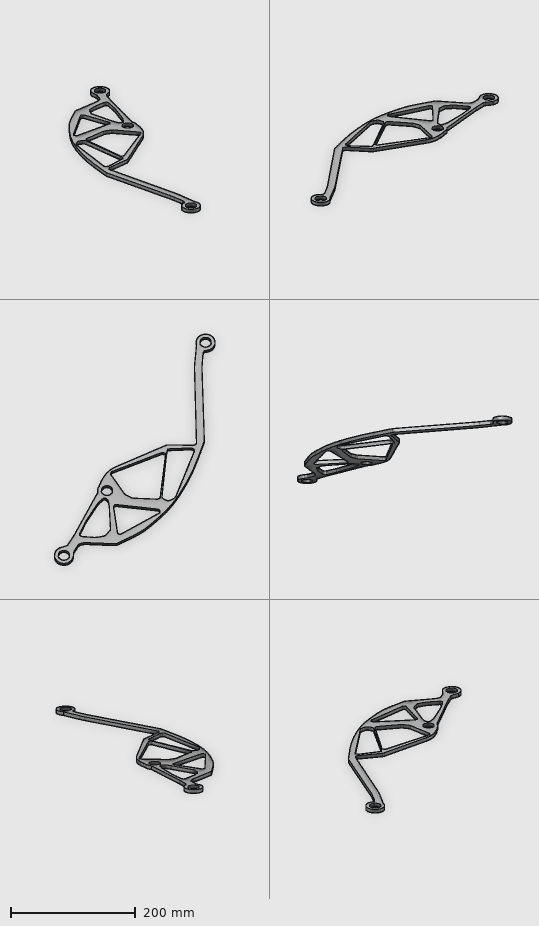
import cadquery as cq
import math

LENGTH = 490.0
THICKNESS = 6.5
EYE_RADIUS = 15.0
HOLE_DIAMETER = 18.0
PIVOT_X = 139.5
RIGHT_EYE_X = LENGTH - 2 * EYE_RADIUS
EYE_CENTERS = [(0, 0), (PIVOT_X, 0), (RIGHT_EYE_X, 0)]

ARM_OUTLINE = [
    (0, 10.0, 0),
    (8.0, 13.5, 0),
    (18.5, 4.5, 5.0),
    (40.5, 4.5, 29.5),
    (131.5, 11.5, 0),
    (135.0, 14.0, 0),
    (152.0, 17.0, 59),
    (174.5, 17.0, 44),
    (261.5, -41.0, 7.5),
    (284.5, -83.0, 5.0),
    (412.0, -6.5, 98),
    (446.0, 9.5, 0),
    (RIGHT_EYE_X, 12.2, 0),
    (RIGHT_EYE_X, -12.2, 0),
    (448.0, -6.0, 0),
    (440.0, -6.5, 7.5),
    (418.0, -17.0, 98),
    (298.5, -89.5, 7.5),
    (227.5, -104.5, 343),
    (163.0, -104.5, 196),
    (102.5, -87.5, 122.5),
    (60.5, -62.0, 7.5),
    (36.5, -15.0, 19.5),
    (30.0, -10.5, 5.0),
    (14.0, -10.5, 7.5),
    (5.0, -14.0, 0),
    (0, -14.0, 0),
]

UPPER_LEFT_WINDOW = [
    (44.0, -2.5, 4.0),
    (72.5, 1.0, 73.5),
    (111.5, 1.0, 24.5),
    (127.0, -2.5, 3.5),
    (124.5, -11.5, 5.0),
    (116.0, -17.5, 14.5),
    (79.0, -41.0, 4.0),
    (64.5, -39.5, 6.5),
    (54.5, -28.0, 24.5),
    (45.0, -8.0, 5.0),
]

LOWER_LEFT_WINDOW = [
    (75.0, -57.5, 4.0),
    (122.5, -21.5, 4.0),
    (154.5, -99.0, 4.5),
]

UPPER_RIGHT_WINDOW = [
    (171.0, 13.0, 4.5),
    (147.5, -29.0, 5.0),
    (147.5, -42.0, 10),
    (167.5, -82.0, 5.0),
    (246.5, -47.5, 1.0),
    (246.5, -42.0, 2.0),
]

LOWER_RIGHT_WINDOW = [
    (171.0, -83.5, 6.5),
    (249.0, -48.0, 2.5),
    (256.0, -46.0, 1.5),
    (276.5, -78.5, 4.0),
    (276.0, -85.0, 3.0),
    (181.5, -102.0, 10),
    (171.0, -95.0, 6.0),
]

WINDOWS = [UPPER_LEFT_WINDOW, LOWER_LEFT_WINDOW, UPPER_RIGHT_WINDOW, LOWER_RIGHT_WINDOW]


def corner_arc(before, corner, after):
    """Return start, middle and end of the arc that rounds a corner."""
    x, y, radius = corner
    angle_in = math.atan2(before[1] - y, before[0] - x)
    angle_out = math.atan2(after[1] - y, after[0] - x)
    half_angle = math.acos(math.cos(angle_out - angle_in)) / 2
    setback = radius / math.tan(half_angle)
    bisector = math.atan2(
        math.sin(angle_in) + math.sin(angle_out),
        math.cos(angle_in) + math.cos(angle_out),
    )
    apex_distance = radius / math.sin(half_angle) - radius

    def along(angle, distance):
        return (x + distance * math.cos(angle), y + distance * math.sin(angle))

    return along(angle_in, setback), along(bisector, apex_distance), along(angle_out, setback)


def rounded_plate(corners):
    """Extrude a closed polygon with an individual radius at each corner."""
    arcs = []
    for i, corner in enumerate(corners):
        following = corners[(i + 1) % len(corners)]
        arcs.append(corner_arc(corners[i - 1], corner, following))

    sketch = cq.Workplane("XY").moveTo(*arcs[0][2])
    for corner, (start, middle, end) in zip(corners[1:] + corners[:1], arcs[1:] + arcs[:1]):
        sketch = sketch.lineTo(*start)
        if corner[2] > 0:
            sketch = sketch.threePointArc(middle, end)
    return sketch.close().extrude(THICKNESS)


def discs(radius):
    """Discs at the two end eyes and the pivot."""
    return cq.Workplane("XY").pushPoints(EYE_CENTERS).circle(radius).extrude(THICKNESS)


bracket = rounded_plate(ARM_OUTLINE).union(discs(EYE_RADIUS))
for window in WINDOWS:
    bracket = bracket.cut(rounded_plate(window))

result = bracket.cut(discs(HOLE_DIAMETER / 2))